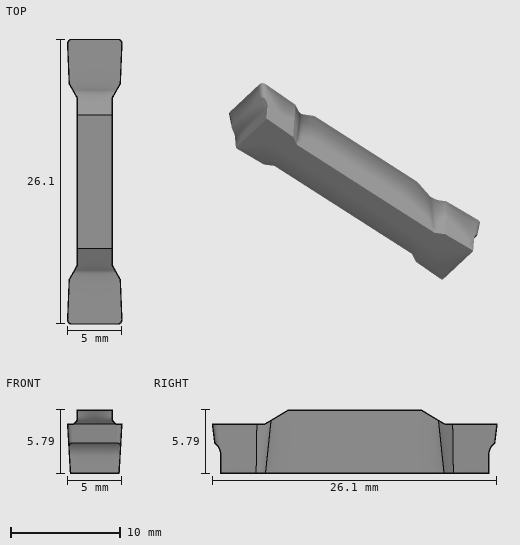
import math

import cadquery as cq

length = 26.11
cutting_width = 5.0
height = 5.79

seat_height = 4.5
ramp_angle = 31.0
ramp_top_y = 6.11
ramp_fillet_radius = 0.5
neck_half_width = 1.62

shoulder_half_width = 2.35
shoulder_from_end = 4.08
shoulder_angle = 30.0
side_draft = 3.0
end_draft = 7.0
corner_radius = 0.4

foot_half_length = 12.29
relief_start_z = 1.69
land_bottom_z = 2.78

overrun = 1.0

half_length = length / 2
half_width = cutting_width / 2


def tan_deg(angle):
    return math.tan(math.radians(angle))


def head_outline(z):
    """Sharp-cornered plan outline of the +Y head at height z."""
    drop = seat_height - z
    side_inset = drop * tan_deg(side_draft)
    end_y = half_length - drop * tan_deg(end_draft)
    side_slope = (half_width - shoulder_half_width) / (shoulder_from_end - corner_radius)

    turn = math.radians(shoulder_angle)
    shift = side_inset * (1 - math.cos(turn)) / math.sin(turn)
    shoulder_x = shoulder_half_width - side_inset
    shoulder_y = half_length - shoulder_from_end + shift

    end_x = shoulder_x + (end_y - shoulder_y) * side_slope
    neck_y = shoulder_y - (shoulder_x - neck_half_width) / tan_deg(shoulder_angle)
    right_side = [(neck_half_width, neck_y), (shoulder_x, shoulder_y), (end_x, end_y)]
    left_side = [(-x, y) for x, y in reversed(right_side)]
    return right_side + left_side


def make_head():
    """Drafted +Y head at full height with rounded cutting corners."""
    head = (
        cq.Workplane("XY")
        .polyline(head_outline(0))
        .close()
        .workplane(offset=height)
        .polyline(head_outline(height))
        .close()
        .loft(ruled=True)
    )
    end_corners = head.faces(">Y").edges("not #Z").edges("<X or >X")
    return end_corners.fillet(corner_radius)


def make_plan_body():
    """Two heads joined by the straight-sided neck."""
    head = make_head()
    neck_half_length = half_length - shoulder_from_end
    neck = cq.Workplane("XY").box(
        2 * neck_half_width, 2 * neck_half_length, height, centered=(True, True, False)
    )
    opposite_head = head.rotate((0, 0, 0), (0, 0, 1), 180)
    return neck.union(head).union(opposite_head)


def relief_arc_middle(land_y):
    """Point halfway along the relief arc, which leaves the foot vertically."""
    run = land_y - foot_half_length
    rise = land_bottom_z - relief_start_z
    radius = (run**2 + rise**2) / (2 * run)
    half_sweep = math.asin(rise / radius) / 2
    middle_y = foot_half_length + radius * (1 - math.cos(half_sweep))
    middle_z = relief_start_z + radius * math.sin(half_sweep)
    return middle_y, middle_z


def make_side_profile():
    """Long-side silhouette extruded across the width."""
    land_y = half_length - (seat_height - land_bottom_z) * tan_deg(end_draft)
    ramp_foot_y = ramp_top_y + (height - seat_height) / tan_deg(ramp_angle)
    outer_y = half_length + overrun
    half_profile = (
        cq.Workplane("YZ")
        .moveTo(0, 0)
        .lineTo(foot_half_length, 0)
        .lineTo(foot_half_length, relief_start_z)
        .threePointArc(relief_arc_middle(land_y), (land_y, land_bottom_z))
        .lineTo(outer_y, land_bottom_z)
        .lineTo(outer_y, seat_height)
        .lineTo(ramp_foot_y, seat_height)
        .lineTo(ramp_top_y, height)
        .lineTo(0, height)
        .close()
        .extrude(half_width + overrun, both=True)
    )
    ramp_foot = cq.selectors.NearestToPointSelector((0, ramp_foot_y, seat_height))
    half_profile = half_profile.edges("|X").edges(ramp_foot).fillet(ramp_fillet_radius)
    return half_profile.union(half_profile.mirror("XZ"))


result = make_plan_body().intersect(make_side_profile()).clean()